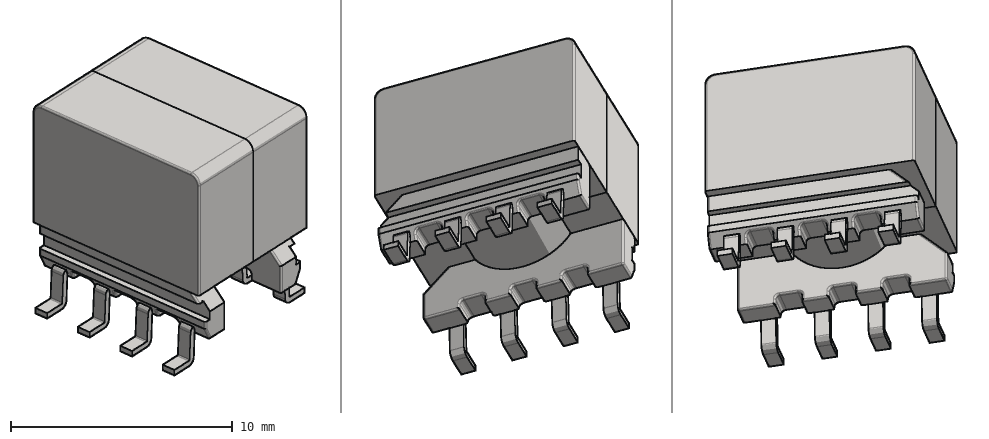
import cadquery as cq

width = 9.78
height = 10.54
core_depth = 7.62
core_bottom = 4.18
core_corner_radius = 0.5
edge_radius = 0.1

post_diameter = 3.28
bore_diameter = 3.3
drum_diameter = 5.7
drum_axis_z = core_bottom + post_diameter / 2

flange_inner_y = 1.95
flange_outer_y = 3.36
flange_waist_y = 3.02
flange_bottom = 1.51
slope_top = 2.2
groove_bottom = 2.57
groove_top = 3.37
marker_chamfer = 1.19

pin_count = 4
pin_pitch = 2.5
pin_width = 0.7
pin_thickness = 0.3
pin_span = 9.14
pin_stem_y = 3.51
pin_top = 1.97
pin_lean = 0.08
pin_inner_bend = 0.05
pin_top_radius = 0.26
slot_width = 1.24
slot_top = 2.03
slot_corner_radius = 0.2

TOLERANCE = 0.001


def row_positions(count):
    """X places of a centred row at the pin pitch."""
    return [(index - (count - 1) / 2) * pin_pitch for index in range(count)]


def along_y(diameter, length):
    """Cylinder on the drum axis, running from Y = 0 toward +Y."""
    return (
        cq.Workplane("XZ", origin=(0, 0, drum_axis_z))
        .circle(diameter / 2)
        .extrude(-length)
    )


def make_core_half():
    """Core half on the +Y side, with a round cavity and a centre post."""
    half_depth = core_depth / 2
    block = (
        cq.Workplane("XY", origin=(0, half_depth / 2, core_bottom))
        .box(width, half_depth, height - core_bottom, centered=(True, True, False))
        .edges("|Y and >Z")
        .fillet(core_corner_radius)
    )
    block = block.faces(">Y").edges("not <Z").fillet(edge_radius)
    cavity = along_y(drum_diameter, flange_inner_y)
    post = along_y(post_diameter, flange_inner_y)
    return block.cut(cavity).union(post)


def is_rounded(edge, round_upper_end):
    """True for the flange edges that carry the small edge radius."""
    box = edge.BoundingBox()
    is_level = box.zlen < TOLERANCE
    if box.ymax < flange_inner_y + TOLERANCE:
        return box.zmin < core_bottom - TOLERANCE
    if box.zmin > groove_top - TOLERANCE:
        return round_upper_end and not is_level and box.ymin > flange_outer_y - TOLERANCE
    if box.zmax > groove_bottom + TOLERANCE:
        return False
    at_end = abs(edge.Center().x) > width / 2 - TOLERANCE
    if is_level and at_end:
        return box.zmax < flange_bottom + TOLERANCE
    is_slot_roof = is_level and box.ylen < TOLERANCE and abs(box.zmax - slot_top) < TOLERANCE
    reaches_slope = box.ymin > flange_waist_y - TOLERANCE
    return is_slot_roof or (reaches_slope and not is_level)


def make_flange(round_upper_end):
    """Flange on the +Y side: grooved bar with pin slots and a cut corner."""
    bar = (
        cq.Workplane("YZ", origin=(-width / 2, 0, 0))
        .moveTo(flange_inner_y, flange_bottom)
        .lineTo(flange_waist_y, flange_bottom)
        .lineTo(flange_outer_y, slope_top)
        .lineTo(flange_outer_y, groove_bottom)
        .lineTo(flange_waist_y, groove_bottom)
        .lineTo(flange_waist_y, groove_top)
        .lineTo(flange_outer_y, groove_top)
        .lineTo(flange_outer_y, core_bottom)
        .lineTo(flange_inner_y, core_bottom)
        .close()
        .extrude(width)
    )
    marker = (
        cq.Workplane("XZ")
        .moveTo(width / 2, core_bottom)
        .lineTo(width / 2 - marker_chamfer, core_bottom)
        .lineTo(width / 2, core_bottom - marker_chamfer)
        .close()
        .extrude(-core_depth)
    )
    bar = bar.cut(marker)
    slot = (
        cq.Workplane("XY")
        .box(slot_width, core_depth, 2 * slot_top)
        .edges("|Y and >Z")
        .fillet(slot_corner_radius)
    )
    for x in row_positions(pin_count - 1):
        bar = bar.cut(slot.translate((x, core_depth / 2, 0)))
    rounded = [edge for edge in bar.edges().vals() if is_rounded(edge, round_upper_end)]
    return bar.newObject(rounded).fillet(edge_radius)


def make_pin():
    """Gull-wing pin on the +Y side, centred on X = 0, its top buried in the flange."""
    stem_inner_y = pin_stem_y - pin_thickness
    return (
        cq.Workplane("YZ", origin=(-pin_width / 2, 0, 0))
        .moveTo(pin_span / 2, 0)
        .lineTo(stem_inner_y, 0)
        .lineTo(stem_inner_y - pin_lean, pin_top)
        .lineTo(pin_stem_y - pin_lean, pin_top)
        .lineTo(pin_stem_y, pin_thickness)
        .lineTo(pin_span / 2, pin_thickness)
        .close()
        .extrude(pin_width)
        .edges(cq.NearestToPointSelector((0, stem_inner_y, 0)))
        .fillet(pin_inner_bend + pin_thickness)
        .edges(cq.NearestToPointSelector((0, pin_stem_y, pin_thickness)))
        .fillet(pin_inner_bend)
        .edges(cq.NearestToPointSelector((0, pin_stem_y - pin_lean, pin_top)))
        .fillet(pin_top_radius)
    )


def make_bobbin_side(round_upper_end):
    """Flange with its row of pins, on the +Y side."""
    side = make_flange(round_upper_end)
    pin = make_pin()
    for x in row_positions(pin_count):
        side = side.union(pin.translate((x, 0, 0)))
    return side


def make_bobbin():
    """Hollow coil drum between the two pinned flanges, as one solid."""
    half_drum = along_y(drum_diameter, flange_inner_y).cut(along_y(bore_diameter, flange_inner_y))
    drum = half_drum.union(half_drum.mirror("XZ"))
    front_side = make_bobbin_side(round_upper_end=True).mirror("XZ")
    back_side = make_bobbin_side(round_upper_end=False)
    return drum.union(front_side).union(back_side)


core_back = make_core_half()
core_front = core_back.mirror("XZ")
bobbin = make_bobbin()

result = cq.Compound.makeCompound([
    core_back.solids().val(),
    core_front.solids().val(),
    bobbin.solids().val(),
])